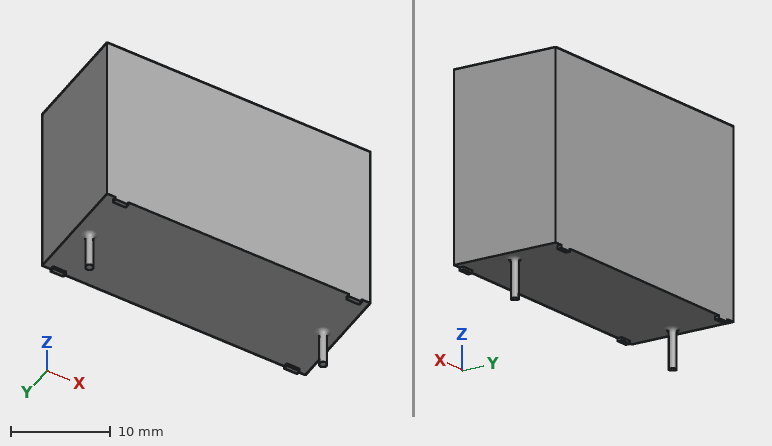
import cadquery as cq


case_length = 31.0
case_width = 12.5
overall_height = 25.0

lead_diameter = 0.8
lead_pitch = 27.5
lead_length = 4.0

foot_length = 1.5
foot_width = 0.5
foot_height = 0.3

meniscus_radius = 0.5

case_height = overall_height - lead_length - foot_height
case_bottom = foot_height
lead_radius = lead_diameter / 2
lead_positions = (-lead_pitch / 2, lead_pitch / 2)


def make_case():
    return (
        cq.Workplane("XY", origin=(0, 0, case_bottom))
        .box(case_length, case_width, case_height, centered=(True, True, False))
    )


def make_foot(x, side):
    """Standoff foot flush with the case face on the given Y side (-1 or 1)."""
    y = side * (case_width - foot_width) / 2
    return (
        cq.Workplane("XY", origin=(x, y, 0))
        .box(foot_length, foot_width, foot_height, centered=(True, True, False))
    )


def make_lead(x):
    """Round wire lead whose top flares along a concave quarter arc into the case."""
    flare_radius = lead_radius + meniscus_radius
    flare_bottom = case_bottom - meniscus_radius
    arc_center = cq.Vector(flare_radius, flare_bottom)
    arc_middle = arc_center + cq.Vector(-1, 1).normalized() * meniscus_radius
    return (
        cq.Workplane("XZ", origin=(x, 0, 0))
        .moveTo(0, -lead_length)
        .lineTo(lead_radius, -lead_length)
        .lineTo(lead_radius, flare_bottom)
        .threePointArc((arc_middle.x, arc_middle.y), (flare_radius, case_bottom))
        .lineTo(0, case_bottom)
        .close()
        .revolve(360, (0, 0, 0), (0, 1, 0))
    )


result = make_case()
for lead_x in lead_positions:
    result = result.union(make_lead(lead_x))
    for foot_side in (-1, 1):
        result = result.union(make_foot(lead_x, foot_side))